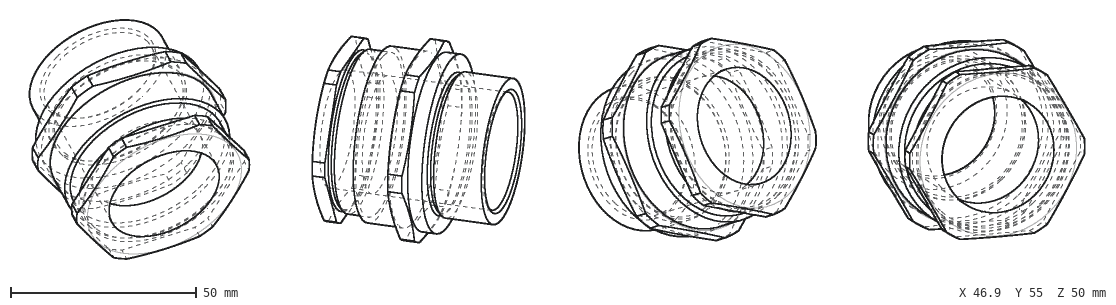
import cadquery as cq
import math

groove_start = 13.45
groove_bottom = 14.7
flange_start = 15.4
body_hex_start = 19.4
body_hex_end = 24.85
body_end = 34.9
cap_groove_start = 40.75
cap_groove_bottom = 41.95
cap_hex_start = 42.6
total_length = 46.9

bore_radius = 16.1
bore_mouth_radius = 16.95
spigot_radius = 19.95
groove_depth = 1.1
groove_rise = flange_start - groove_bottom
flange_radius = 24.5
barrel_radius = 24.15
cap_shank_radius = 22.5
cap_groove_rise = cap_hex_start - cap_groove_bottom

body_hex_flats = 50.0
body_hex_corner_radius = 27.5
cap_hex_flats = 45.75
cap_hex_corner_radius = 25.25
cap_hex_face_radius = 22.55
hex_chamfer_length = 0.7

bore_chamfer = bore_mouth_radius - bore_radius


def revolve_about_x(profile):
    """Turn a closed profile of (x, radius) points about the X axis."""
    return cq.Workplane("XY").polyline(profile).close().revolve(360, (0, 0, 0), (1, 0, 0))


def hexagon(start, end, flats):
    """Hexagonal prism along X with corners pointing along Y."""
    across_corners = flats / math.cos(math.radians(30))
    return cq.Workplane("YZ", origin=(start, 0, 0)).polygon(6, across_corners).extrude(end - start)


def make_bore():
    """Through bore with a chamfered mouth at the entry end."""
    return revolve_about_x([
        (0, 0),
        (0, bore_mouth_radius),
        (bore_chamfer, bore_radius),
        (total_length, bore_radius),
        (total_length, 0),
    ])


def make_body():
    """Spigot, undercut, flange, hexagon chamfered on both sides, and barrel."""
    spigot_and_flange = revolve_about_x([
        (0, 0),
        (0, spigot_radius),
        (groove_start, spigot_radius),
        (groove_bottom, spigot_radius - groove_depth),
        (flange_start, spigot_radius - groove_depth + groove_rise),
        (flange_start, flange_radius),
        (body_hex_start, flange_radius),
        (body_hex_start, barrel_radius),
        (body_end, barrel_radius),
        (body_end, 0),
    ])
    hex_envelope = revolve_about_x([
        (body_hex_start, 0),
        (body_hex_start, flange_radius),
        (body_hex_start + hex_chamfer_length, body_hex_corner_radius),
        (body_hex_end - hex_chamfer_length, body_hex_corner_radius),
        (body_hex_end, flange_radius),
        (body_hex_end, 0),
    ])
    body_hex = hexagon(body_hex_start, body_hex_end, body_hex_flats).intersect(hex_envelope)
    return spigot_and_flange.union(body_hex).cut(make_bore()).solids()


def make_cap():
    """Shank seated on the barrel, undercut, and hexagon chamfered on its outer side."""
    shank = revolve_about_x([
        (body_end, 0),
        (body_end, cap_shank_radius),
        (cap_groove_start, cap_shank_radius),
        (cap_groove_bottom, cap_shank_radius - groove_depth),
        (cap_hex_start, cap_shank_radius - groove_depth + cap_groove_rise),
        (cap_hex_start, 0),
    ])
    hex_envelope = revolve_about_x([
        (cap_hex_start, 0),
        (cap_hex_start, cap_hex_corner_radius),
        (total_length - hex_chamfer_length, cap_hex_corner_radius),
        (total_length, cap_hex_face_radius),
        (total_length, 0),
    ])
    cap_hex = hexagon(cap_hex_start, total_length, cap_hex_flats).intersect(hex_envelope)
    return shank.union(cap_hex).cut(make_bore()).solids()


body = make_body()
cap = make_cap()

result = cq.Compound.makeCompound([body.val(), cap.val()])